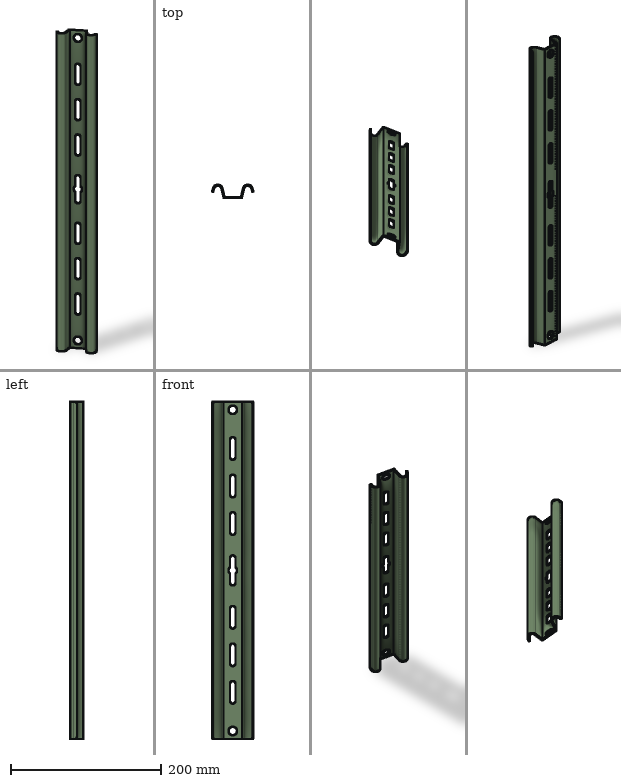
import cadquery as cq
import math

length = 450.0
width = 55.0
depth = 17.98
thickness = 1.5
flank_lean = math.radians(13.85)
lip_lean = math.radians(16.0)
crown_radius = 6.5
lip_drop = 9.1
lip_corner = 3.5

round_diameter = 11.0
end_hole_z = 214.0
slot_width = 7.0
slot_length = 30.0
slot_pitch = 50.0
first_slot_z = 62.5
slots_per_side = 3
center_slot_length = 40.0

base_y = -depth / 2
crown_y = depth / 2 - crown_radius

lip_length = (lip_drop - crown_radius * (1 - math.sin(lip_lean))) / math.cos(lip_lean)
crown_x = width / 2 - crown_radius * math.cos(lip_lean) - lip_length * math.sin(lip_lean)


def on_crown(radius, angle):
    """Point at an angle on a circle about the right crown's center."""
    return (crown_x + radius * math.cos(angle), crown_y + radius * math.sin(angle))


def skin(radius, floor_y):
    """Points of one face of the right half of the strip, from the base corner to the lip edge."""
    corner_x = crown_x - radius / math.cos(flank_lean) - (crown_y - floor_y) * math.tan(flank_lean)
    flank_end = on_crown(radius, math.pi - flank_lean)
    crown_top = on_crown(radius, math.pi / 2)
    lip_start = on_crown(radius, lip_lean)
    lip_end = (
        lip_start[0] + lip_length * math.sin(lip_lean),
        lip_start[1] - lip_length * math.cos(lip_lean),
    )
    return (corner_x, floor_y), flank_end, crown_top, lip_start, lip_end


def mirrored(points):
    return [(-x, y) for x, y in points]


def trace_out(outline, points):
    """Follow a face from the base corner to the lip edge."""
    corner, flank_end, crown_top, lip_start, lip_end = points
    outline = outline.lineTo(*corner).lineTo(*flank_end)
    return outline.threePointArc(crown_top, lip_start).lineTo(*lip_end)


def trace_back(outline, points):
    """Follow a face from the lip edge to the base corner."""
    corner, flank_end, crown_top, lip_start, lip_end = points
    outline = outline.lineTo(*lip_end).lineTo(*lip_start)
    return outline.threePointArc(crown_top, flank_end).lineTo(*corner)


def make_rail():
    """Extrude the bent strip along Z."""
    front = skin(crown_radius - thickness, base_y)
    back = skin(crown_radius, base_y + thickness)

    outline = cq.Workplane("XY", origin=(0, 0, -length / 2)).moveTo(0, base_y)
    outline = trace_out(outline, front)
    outline = trace_back(outline, back)
    outline = trace_out(outline, mirrored(back))
    outline = trace_back(outline, mirrored(front))
    return outline.close().extrude(length)


def on_base(heights):
    """Points on the outer face of the base, on the rail's center line."""
    return cq.Workplane("XZ", origin=(0, base_y, 0)).pushPoints([(0, z) for z in heights])


def cut_round_holes(rail):
    """One hole near each end and one across the middle slot."""
    holes = on_base([-end_hole_z, 0, end_hole_z]).circle(round_diameter / 2)
    return rail.cut(holes.extrude(-thickness))


def cut_slots(rail):
    """A row of slots on each side of a longer middle slot."""
    distances = [first_slot_z + i * slot_pitch for i in range(slots_per_side)]
    heights = distances + [-z for z in distances]
    slots = on_base(heights).slot2D(slot_length, slot_width, 90)
    center_slot = on_base([0]).slot2D(center_slot_length, slot_width, 90)
    return rail.cut(slots.extrude(-thickness)).cut(center_slot.extrude(-thickness))


def round_lip_corners(rail):
    """Round the four corners where the lip edges meet the rail ends."""
    corner_x = width / 2 - thickness * math.cos(lip_lean) / 2
    corner_y = depth / 2 - lip_drop - thickness * math.sin(lip_lean) / 2
    for x in (-corner_x, corner_x):
        for z in (-length / 2, length / 2):
            nearest = cq.selectors.NearestToPointSelector((x, corner_y, z))
            rail = rail.edges(nearest).fillet(lip_corner)
    return rail


rail = make_rail()
rail = cut_round_holes(rail)
rail = cut_slots(rail)
result = round_lip_corners(rail)